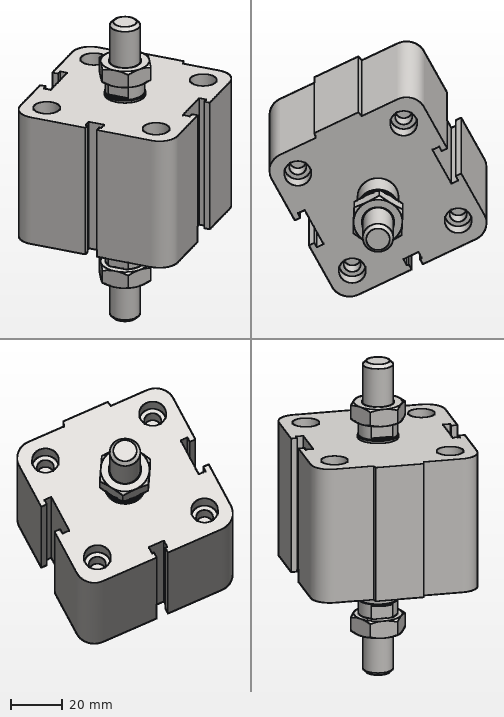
import cadquery as cq
import math

TOTAL_LENGTH = 128.5
ROD_SHIFT = 5.1

SIDE = 67.0
HOUSING_HEIGHT = 55.3
CORNER_RADIUS = 7.7
PAD_BOTTOM_WIDTH = 20.2
PAD_TOP_WIDTH = 19.4
PAD_HEIGHT = 2.0

SLOT_DEPTH = 5.4
LIP_THICKNESS = 2.5
SIDE_SLOT_OPENING = 12.0
SIDE_SLOT_WIDTH = 16.2
FRONT_SLOT_OPENING = 4.9
FRONT_SLOT_WIDTH = 6.5

HOLE_SPACING = 46.5
COUNTERBORE_DIAMETER = 10.5
COUNTERBORE_DEPTH = 6.5
HOLE_DIAMETER = 6.7
HOLE_DEPTH = 12.8

ROD_DIAMETER = 16.0
NECK_DIAMETER = 15.5
THREAD_DIAMETER = 12.0
THREAD_LENGTH = 24.0
NECK_LENGTH = 6.2
NECK_TAPER = 0.4
NECK_END_CHAMFER = 0.4
TIP_CHAMFER = 1.4
FLAT_WIDTH = 13.0
FLAT_LENGTH = 5.5

NUT_ACROSS_FLATS = 19.0
NUT_ACROSS_CORNERS = NUT_ACROSS_FLATS / math.cos(math.pi / 6)
NUT_THICKNESS = 7.1
NUT_FACE_DIAMETER = 19.0
NUT_CONE_ANGLE = 30
NUT_BORE_MOUTH = 12.7

ROD_HALF_LENGTH = TOTAL_LENGTH / 2
SHOULDER = ROD_HALF_LENGTH - THREAD_LENGTH
ENDS = (1, -1)


def t_slot(opening, width):
    """T-slot cutter that opens toward -Y at the -Y face of the housing."""
    face_y = -SIDE / 2
    mouth = cq.Workplane("XY").box(opening, SLOT_DEPTH, HOUSING_HEIGHT, centered=(True, False, True))
    pocket = (
        cq.Workplane("XY")
        .box(width, SLOT_DEPTH - LIP_THICKNESS, HOUSING_HEIGHT, centered=(True, False, True))
        .translate((0, LIP_THICKNESS, 0))
    )
    return mouth.union(pocket).translate((0, face_y, 0))


def mounting_holes(end):
    """Four counterbored blind holes that enter from one end face."""
    face = cq.Workplane("XY").workplane(offset=end * HOUSING_HEIGHT / 2)
    centres = face.rect(HOLE_SPACING, HOLE_SPACING, forConstruction=True).vertices()
    counterbores = centres.circle(COUNTERBORE_DIAMETER / 2).extrude(-end * COUNTERBORE_DEPTH)
    holes = centres.circle(HOLE_DIAMETER / 2).extrude(-end * HOLE_DEPTH)
    return counterbores.union(holes)


def make_pad():
    """Raised pad that runs along the middle of the +Y face."""
    face_y = SIDE / 2
    top_y = face_y + PAD_HEIGHT
    return (
        cq.Workplane("XY")
        .workplane(offset=-HOUSING_HEIGHT / 2)
        .moveTo(-PAD_BOTTOM_WIDTH / 2, 0)
        .lineTo(-PAD_BOTTOM_WIDTH / 2, face_y)
        .lineTo(-PAD_TOP_WIDTH / 2, top_y)
        .lineTo(PAD_TOP_WIDTH / 2, top_y)
        .lineTo(PAD_BOTTOM_WIDTH / 2, face_y)
        .lineTo(PAD_BOTTOM_WIDTH / 2, 0)
        .close()
        .extrude(HOUSING_HEIGHT)
    )


def make_housing():
    housing = cq.Workplane("XY").box(SIDE, SIDE, HOUSING_HEIGHT).edges("|Z").fillet(CORNER_RADIUS)
    housing = housing.union(make_pad())
    housing = housing.cut(t_slot(FRONT_SLOT_OPENING, FRONT_SLOT_WIDTH))
    side_slot = t_slot(SIDE_SLOT_OPENING, SIDE_SLOT_WIDTH)
    for angle in (90, -90):
        housing = housing.cut(side_slot.rotate((0, 0, 0), (0, 0, 1), angle))
    for end in ENDS:
        housing = housing.cut(mounting_holes(end))
    rod_bore = cq.Workplane("XY").circle(ROD_DIAMETER / 2).extrude(HOUSING_HEIGHT / 2, both=True)
    return housing.cut(rod_bore)


def wrench_flats(end):
    """Two blocks that cut the flats on the rod neck, next to the nut."""
    centre_z = end * (SHOULDER - FLAT_LENGTH / 2)
    around = cq.Workplane("XY").box(ROD_DIAMETER, ROD_DIAMETER, FLAT_LENGTH)
    kept = cq.Workplane("XY").box(ROD_DIAMETER, FLAT_WIDTH, FLAT_LENGTH)
    return around.cut(kept).translate((0, 0, centre_z))


def make_rod():
    """Turned rod, the same at both ends, with wrench flats and threaded-end diameters."""
    rod_radius = ROD_DIAMETER / 2
    neck_radius = NECK_DIAMETER / 2
    thread_radius = THREAD_DIAMETER / 2
    neck_start = SHOULDER - NECK_LENGTH
    half_profile = (
        cq.Workplane("XZ")
        .lineTo(rod_radius, 0)
        .lineTo(rod_radius, neck_start - NECK_TAPER)
        .lineTo(neck_radius, neck_start)
        .lineTo(neck_radius, SHOULDER - NECK_END_CHAMFER)
        .lineTo(neck_radius - NECK_END_CHAMFER, SHOULDER)
        .lineTo(thread_radius, SHOULDER)
        .lineTo(thread_radius, ROD_HALF_LENGTH - TIP_CHAMFER)
        .lineTo(thread_radius - TIP_CHAMFER, ROD_HALF_LENGTH)
        .lineTo(0, ROD_HALF_LENGTH)
        .close()
    )
    upper_half = half_profile.revolve(360, (0, 0, 0), (0, 1, 0))
    rod = upper_half.union(upper_half.mirror("XY"))
    for end in ENDS:
        rod = rod.cut(wrench_flats(end))
    return rod.translate((0, 0, -ROD_SHIFT))


def make_nut(end):
    """Hexagon nut with chamfered corners, seated on the rod shoulder at one end."""
    half_thickness = NUT_THICKNESS / 2
    corner_radius = NUT_ACROSS_CORNERS / 2
    face_radius = NUT_FACE_DIAMETER / 2
    corner_drop = (corner_radius - face_radius) * math.tan(math.radians(NUT_CONE_ANGLE))
    bore_radius = THREAD_DIAMETER / 2
    mouth_radius = NUT_BORE_MOUTH / 2
    mouth_depth = mouth_radius - bore_radius

    hexagon = cq.Workplane("XY").polygon(6, NUT_ACROSS_CORNERS).extrude(half_thickness, both=True)
    turned_ring = (
        cq.Workplane("XZ")
        .moveTo(bore_radius, mouth_depth - half_thickness)
        .lineTo(mouth_radius, -half_thickness)
        .lineTo(face_radius, -half_thickness)
        .lineTo(corner_radius, corner_drop - half_thickness)
        .lineTo(corner_radius, half_thickness - corner_drop)
        .lineTo(face_radius, half_thickness)
        .lineTo(mouth_radius, half_thickness)
        .lineTo(bore_radius, half_thickness - mouth_depth)
        .close()
        .revolve(360, (0, 0, 0), (0, 1, 0))
    )
    centre_z = end * (SHOULDER + half_thickness) - ROD_SHIFT
    return hexagon.intersect(turned_ring).translate((0, 0, centre_z))


housing = make_housing()
rod = make_rod()
nuts = [make_nut(end) for end in ENDS]

result = cq.Compound.makeCompound([housing.val(), rod.val(), *[nut.val() for nut in nuts]])